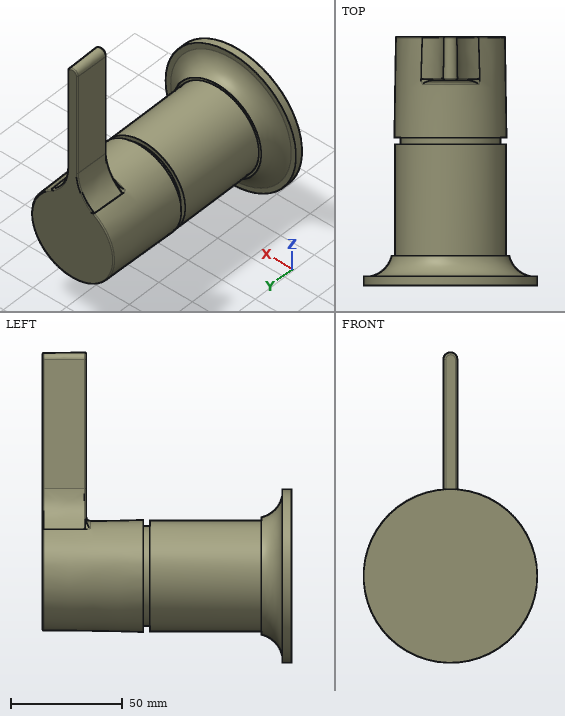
import cadquery as cq
import math


FLANGE_DIAMETER = 78.0
FLANGE_THICKNESS = 4.2
FLARE_END_Y = 13.5
FLARE_FOOT_RADIUS = 36.0
FLARE_TOP_RADIUS = 26.4
FLARE_SAG = 2.0

SLEEVE_DIAMETER = 50.0
SLEEVE_END_Y = 63.5
NECK_DIAMETER = 45.0
NECK_END_Y = 66.4

HANDLE_END_Y = 111.69
BARREL_END_RADIUS = 24.5
DRAFT_DEGREES = 0.9
BLADE_START_Y = 92.0
BLADE_TOP_Z = 100.35
BLADE_WIDTH = 6.4
BLEND_RADIUS = 22.0
BLADE_FRONT_ROUND = 1.0
HANDLE_END_ROUND = 0.6
BLADE_FOOT_ROUND = 1.7
FOOT_CLEARANCE = 0.1

draft_slope = math.tan(math.radians(DRAFT_DEGREES))
blade_depth = HANDLE_END_Y - BLADE_START_Y


def barrel_radius(y):
    """Radius of the conical handle barrel at a station along the axis."""
    return BARREL_END_RADIUS + (HANDLE_END_Y - y) * draft_slope


def cylinder(diameter, start_y, end_y):
    """Solid cylinder along Y between two stations."""
    return cq.Workplane("XZ", origin=(0, start_y, 0)).circle(diameter / 2).extrude(start_y - end_y)


def make_flange():
    """Revolved disk with a concave flare."""
    chord_dx = FLARE_FOOT_RADIUS - FLARE_TOP_RADIUS
    chord_dy = FLARE_END_Y - FLANGE_THICKNESS
    chord = math.hypot(chord_dx, chord_dy)
    flare_middle = (
        (FLARE_FOOT_RADIUS + FLARE_TOP_RADIUS) / 2 - FLARE_SAG * chord_dy / chord,
        (FLANGE_THICKNESS + FLARE_END_Y) / 2 - FLARE_SAG * chord_dx / chord,
    )
    return (
        cq.Workplane("XY")
        .lineTo(FLANGE_DIAMETER / 2, 0)
        .lineTo(FLANGE_DIAMETER / 2, FLANGE_THICKNESS)
        .lineTo(FLARE_FOOT_RADIUS, FLANGE_THICKNESS)
        .threePointArc(flare_middle, (FLARE_TOP_RADIUS, FLARE_END_Y))
        .lineTo(0, FLARE_END_Y)
        .close()
        .revolve(360, (0, 0, 0), (0, 1, 0))
    )


def make_barrel():
    """Conical barrel of the handle with a rounded end edge."""
    barrel = (
        cq.Workplane("XY")
        .moveTo(0, NECK_END_Y)
        .lineTo(barrel_radius(NECK_END_Y), NECK_END_Y)
        .lineTo(BARREL_END_RADIUS, HANDLE_END_Y)
        .lineTo(0, HANDLE_END_Y)
        .close()
        .revolve(360, (0, 0, 0), (0, 1, 0))
    )
    return barrel.faces(">Y").edges().fillet(HANDLE_END_ROUND)


def blend_centre():
    """X and Z of the centre of the blend arc on the +X side, tangent to the blade and the barrel."""
    blend_x = BLADE_WIDTH / 2 + BLEND_RADIUS
    reach = barrel_radius(BLADE_START_Y) + BLEND_RADIUS
    return blend_x, math.sqrt(reach**2 - blend_x**2)


def blend_foot():
    """X and Z of the point where the +X blend arc meets the barrel."""
    radius = barrel_radius(BLADE_START_Y)
    share = radius / (radius + BLEND_RADIUS)
    return tuple(share * coordinate for coordinate in blend_centre())


def blade_outline(start_y):
    """Keyhole outline: barrel circle, two blend arcs and a round-topped blade."""
    half_width = BLADE_WIDTH / 2
    blend_x, blend_z = blend_centre()
    foot_x, foot_z = blend_foot()
    middle_angle = (math.atan2(foot_z - blend_z, foot_x - blend_x) - math.pi) / 2
    middle_x = blend_x + BLEND_RADIUS * math.cos(middle_angle)
    middle_z = blend_z + BLEND_RADIUS * math.sin(middle_angle)
    shoulder_z = BLADE_TOP_Z - half_width
    return (
        cq.Workplane("ZX", origin=(0, start_y, 0))
        .moveTo(foot_z, foot_x)
        .threePointArc((middle_z, middle_x), (blend_z, half_width))
        .lineTo(shoulder_z, half_width)
        .threePointArc((BLADE_TOP_Z, 0), (shoulder_z, -half_width))
        .lineTo(blend_z, -half_width)
        .threePointArc((middle_z, -middle_x), (foot_z, -foot_x))
        .threePointArc((-barrel_radius(BLADE_START_Y), 0), (foot_z, foot_x))
        .close()
    )


def above_blend_feet():
    """Space above the points where the blend arcs run into the barrel."""
    cut_z = blend_foot()[1] + FOOT_CLEARANCE
    side = 4 * HANDLE_END_Y
    return cq.Workplane("XY", origin=(0, 0, cut_z)).rect(side, side).extrude(BLADE_TOP_Z)


def make_blade():
    """Upright blade with its blend arcs and rounded front and end edges."""
    blade = blade_outline(BLADE_START_Y).extrude(blade_depth, taper=DRAFT_DEGREES)
    blade = blade.faces(">Y").edges().fillet(HANDLE_END_ROUND)
    blade = blade.faces("<Y").edges().fillet(BLADE_FRONT_ROUND)
    return blade.intersect(above_blend_feet())


def make_blade_foot():
    """Concave round between the blade's front face and the barrel, dying out at the blend arcs."""
    start_y = BLADE_START_Y - BLADE_FOOT_ROUND
    inner = barrel_radius(BLADE_START_Y) - BLADE_FOOT_ROUND
    low = barrel_radius(start_y)
    high = low + BLADE_FOOT_ROUND
    end_y = BLADE_START_Y + BLADE_FRONT_ROUND / 2
    diagonal = BLADE_FOOT_ROUND * math.sqrt(0.5)
    ring = (
        cq.Workplane("XY")
        .moveTo(inner, start_y)
        .lineTo(low, start_y)
        .threePointArc((high - diagonal, start_y + diagonal), (high, BLADE_START_Y))
        .lineTo(high, end_y)
        .lineTo(inner, end_y)
        .close()
        .revolve(360, (0, 0, 0), (0, 1, 0))
    )
    within_outline = ring.intersect(blade_outline(start_y).extrude(blade_depth))
    return within_outline.intersect(above_blend_feet())


def make_handle():
    """Barrel, blade and blade foot joined into one solid."""
    return make_barrel().union(make_blade()).union(make_blade_foot())


flange = make_flange()
sleeve = cylinder(SLEEVE_DIAMETER, FLARE_END_Y, SLEEVE_END_Y)
neck = cylinder(NECK_DIAMETER, SLEEVE_END_Y, NECK_END_Y)
handle = make_handle()

result = cq.Compound.makeCompound([flange.val(), sleeve.val(), neck.val(), handle.val()])